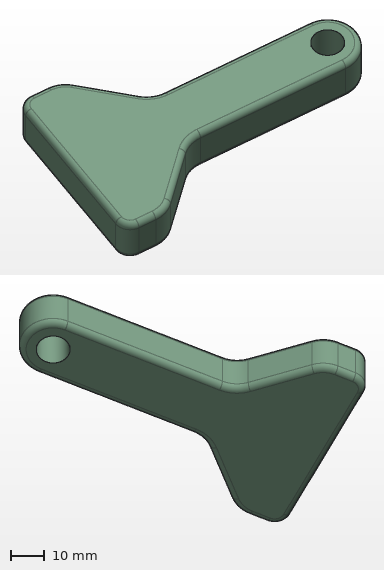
import cadquery as cq

length = 100.0
blade_width = 60.0
thickness = 15.0

handle_width = 20.0
hole_diameter = 10.0

side_height = 15.0
shoulder_height = (blade_width - handle_width) / 2

base_corner_radius = 5.0
shoulder_radius = 10.0
rim_radius = 2.0

half_blade = blade_width / 2
half_handle = handle_width / 2
neck_y = side_height + shoulder_height
handle_center_y = length - half_handle


def vertical_edges_at(body, half_width, y):
    """Select the left and right vertical edges at the given outline corner."""
    points = [(side * half_width, y, thickness / 2) for side in (-1, 1)]
    edges = [body.edges(cq.selectors.NearestToPointSelector(point)) for point in points]
    return edges[0].add(edges[1])


body = (
    cq.Workplane("XY")
    .moveTo(-half_blade, 0)
    .lineTo(half_blade, 0)
    .lineTo(half_blade, side_height)
    .lineTo(half_handle, neck_y)
    .lineTo(half_handle, handle_center_y)
    .threePointArc((0, length), (-half_handle, handle_center_y))
    .lineTo(-half_handle, neck_y)
    .lineTo(-half_blade, side_height)
    .close()
    .extrude(thickness)
)

for half_width, y, radius in (
    (half_blade, 0, base_corner_radius),
    (half_blade, side_height, shoulder_radius),
    (half_handle, neck_y, shoulder_radius),
):
    body = vertical_edges_at(body, half_width, y).fillet(radius)

body = body.faces("<Z or >Z").edges().fillet(rim_radius)

hole = cq.Workplane("XY").center(0, handle_center_y).circle(hole_diameter / 2).extrude(thickness)
result = body.cut(hole)